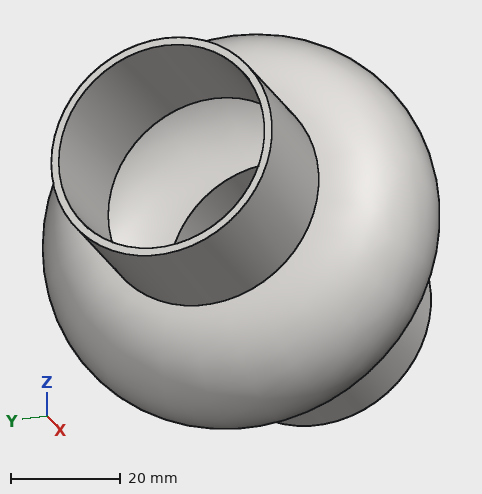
import cadquery as cq
import math

length = 82.0
bore_diameter = 40.0
tube_diameter = 43.0
bulge_diameter = 74.95
bulge_width = 33.95

wall = (tube_diameter - bore_diameter) / 2
bulge_radius = bulge_width / 2
ring_radius = bulge_diameter / 2 - bulge_radius


def revolved_body(cylinder_radius, section_radius):
    """Solid of revolution about X: a cylinder with a round bulge at its middle."""
    half_length = length / 2
    half_opening = math.sqrt(section_radius**2 - (cylinder_radius - ring_radius) ** 2)
    return (
        cq.Workplane("XY")
        .moveTo(-half_length, 0)
        .lineTo(-half_length, cylinder_radius)
        .lineTo(-half_opening, cylinder_radius)
        .threePointArc((0, ring_radius + section_radius), (half_opening, cylinder_radius))
        .lineTo(half_length, cylinder_radius)
        .lineTo(half_length, 0)
        .close()
        .revolve(360, (0, 0, 0), (1, 0, 0))
    )


outer_body = revolved_body(tube_diameter / 2, bulge_radius)
hollow = revolved_body(bore_diameter / 2, bulge_radius - wall)
result = outer_body.cut(hollow)